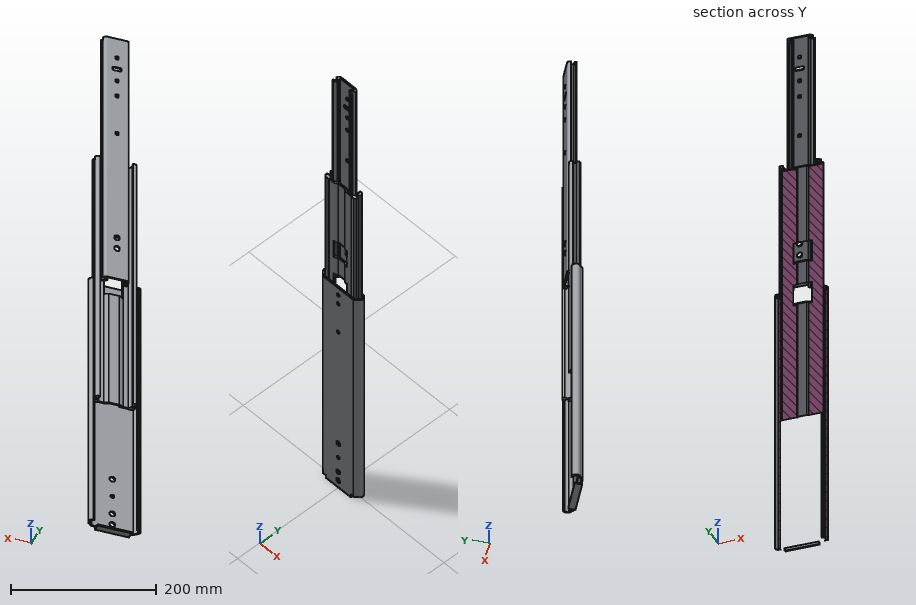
import cadquery as cq
import math

SHEET = 2.5
RAIL_LENGTH = 400.0

OUTER_HALF_WIDTH = 77.0 / 2
OUTER_HALF_BASE = 61.0 / 2
OUTER_DEPTH = 16.0
OUTER_BEVEL_X = 71.0 / 2
OUTER_BEVEL_Y = 4.5
OUTER_LEDGE_X = 36.5
OUTER_LEDGE_Y = 5.3
OUTER_CURL_Y = 10.0
OUTER_CURL_END = 34.0
OUTER_LIP_X = 32.0
OUTER_BOTTOM = 5.0
OUTER_TOP = 408.0

TAB_HALF_WIDTH = 25.0
STOP_HEIGHT = 10.5

MIDDLE_BOTTOM = 211.0
MIDDLE_TOP = MIDDLE_BOTTOM + RAIL_LENGTH
MIDDLE_HALF_WIDTH = 31.0
MIDDLE_FRONT = 2.85
WEB_FRONT = 3.65
MIDDLE_BACK = 19.0
RIDGE_RISE = 2.85
RIDGE_HALF_WIDTH = 6.5
RIDGE_FOOT_X = 27.0 / 2
FLANK_SAG = 1.0
BEAD_X = 22.0
BEAD_TOP = 9.0
BEAD_STEP = 1.2
BEAD_BEVEL = 2.5
WING_ROUND = 4.5
WING_TIP_X = 24.0
WING_TIP_Y = 15.5
RACE_Y = 12.0
OUTER_RACE_X = 28.0
INNER_RACE_X = OUTER_RACE_X - SHEET
WINDOW_HALF_WIDTH = RIDGE_FOOT_X
WINDOW_HEIGHT = 32.0
WINDOW_BOTTOMS = (392.0, 459.0)

INNER_TOP = 812.0
INNER_BOTTOM = INNER_TOP - RAIL_LENGTH
INNER_HALF_WIDTH = 38.0 / 2
INNER_FRONT = 6.5
INNER_BACK = 19.5
INNER_ROUND = 5.0
CHANNEL_HALF_WIDTH = 22.0 / 2
CHANNEL_MOUTH_X = 33.0 / 2
CHANNEL_FLARE_Y = 10.5
GROOVE_X = CHANNEL_HALF_WIDTH + SHEET
GROOVE_MOUTH = 6.0
GROOVE_FLOOR = 2.5

SMALL_HOLE = 5.3
LARGE_HOLE = 8.0
OUTER_SMALL_HOLES = (393.0, 375.0, 318.0, 61.0)
OUTER_LARGE_HOLES = (89.0, 32.0, 14.0)
INNER_SMALL_HOLES = (781.0, 742.5, 717.0, 655.0)
INNER_LARGE_HOLES = (481.0, 463.0)
SLOT_Z = 762.0
SLOT_LENGTH = 14.0
SLOT_WIDTH = 6.0


def extrude_half(half_profile, bottom, top):
    """Extrude a closed profile of the +X half and mirror it across the YZ plane."""
    half = half_profile.close().extrude(top - bottom).translate((0, 0, bottom))
    return half.union(half.mirror("YZ"))


def block(half_width, front, back, bottom, top):
    """A box centred on X = 0."""
    size = (2 * half_width, back - front, top - bottom)
    return cq.Workplane("XY").box(*size, centered=(True, False, False)).translate((0, front, bottom))


def drill(rail, diameter, heights):
    """Cut holes through a rail along Y at the given heights."""
    points = [(0, z) for z in heights]
    cutter = cq.Workplane("XZ").pushPoints(points).circle(diameter / 2).extrude(INNER_BACK, both=True)
    return rail.cut(cutter)


def round_middle(corner_x, corner_y, radius):
    """Middle point of the arc that rounds a square corner at the +X, +Y side of a profile."""
    inset = radius * (1 - math.sqrt(0.5))
    return (corner_x - inset, corner_y - inset)


def make_outer_rail():
    side = OUTER_HALF_WIDTH
    lip_front = OUTER_DEPTH - SHEET
    profile = (
        cq.Workplane("XY")
        .moveTo(0, 0)
        .lineTo(OUTER_HALF_BASE, 0)
        .lineTo(OUTER_BEVEL_X, OUTER_BEVEL_Y)
        .lineTo(OUTER_LEDGE_X, OUTER_LEDGE_Y)
        .threePointArc((side, OUTER_CURL_Y), (OUTER_CURL_END, OUTER_DEPTH))
        .lineTo(OUTER_LIP_X, OUTER_DEPTH)
        .lineTo(OUTER_LIP_X, lip_front)
        .lineTo(OUTER_CURL_END, lip_front)
        .threePointArc((side - SHEET, OUTER_CURL_Y), (OUTER_LEDGE_X - SHEET / 2, OUTER_LEDGE_Y + SHEET))
        .lineTo(OUTER_BEVEL_X - SHEET / 2, OUTER_BEVEL_Y + SHEET)
        .lineTo(OUTER_HALF_BASE, SHEET)
        .lineTo(0, SHEET)
    )
    rail = extrude_half(profile, OUTER_BOTTOM, OUTER_TOP)
    tab = block(TAB_HALF_WIDTH, 0, SHEET, 0, OUTER_BOTTOM)
    stop = block(TAB_HALF_WIDTH, 0, STOP_HEIGHT, 0, SHEET)
    rail = rail.union(tab).union(stop)
    rail = drill(rail, SMALL_HOLE, OUTER_SMALL_HOLES)
    return drill(rail, LARGE_HOLE, OUTER_LARGE_HOLES)


def make_middle_rail():
    web_back = WEB_FRONT + SHEET
    ridge_front = WEB_FRONT + RIDGE_RISE
    ridge_back = ridge_front + SHEET
    back_foot_x = RIDGE_FOOT_X + SHEET / 2
    back_ridge_x = RIDGE_HALF_WIDTH + SHEET / 2
    flank_middle = (
        (RIDGE_HALF_WIDTH + RIDGE_FOOT_X) / 2 - FLANK_SAG / 2,
        WEB_FRONT + RIDGE_RISE / 2 - FLANK_SAG,
    )
    side = MIDDLE_HALF_WIDTH
    wing_edge_y = MIDDLE_BACK - WING_ROUND
    profile = (
        cq.Workplane("XY")
        .moveTo(0, ridge_front)
        .lineTo(RIDGE_HALF_WIDTH, ridge_front)
        .threePointArc(flank_middle, (RIDGE_FOOT_X, WEB_FRONT))
        .lineTo(BEAD_X, WEB_FRONT)
        .lineTo(BEAD_X + BEAD_STEP, MIDDLE_FRONT)
        .lineTo(side - BEAD_BEVEL, MIDDLE_FRONT)
        .lineTo(side, MIDDLE_FRONT + BEAD_BEVEL)
        .lineTo(side, BEAD_TOP)
        .lineTo(OUTER_RACE_X - SHEET / 2, BEAD_TOP)
        .lineTo(OUTER_RACE_X, RACE_Y)
        .lineTo(side, wing_edge_y)
        .threePointArc(round_middle(side, MIDDLE_BACK, WING_ROUND), (side - WING_ROUND, MIDDLE_BACK))
        .lineTo(WING_TIP_X, MIDDLE_BACK)
        .lineTo(WING_TIP_X, WING_TIP_Y)
        .threePointArc((INNER_RACE_X, RACE_Y), (BEAD_X, web_back))
        .lineTo(back_foot_x, web_back)
        .lineTo(back_ridge_x, ridge_back)
        .lineTo(0, ridge_back)
    )
    rail = extrude_half(profile, MIDDLE_BOTTOM, MIDDLE_TOP)
    for bottom in WINDOW_BOTTOMS:
        rail = rail.cut(block(WINDOW_HALF_WIDTH, 0, MIDDLE_BACK, bottom, bottom + WINDOW_HEIGHT))
    return rail


def make_inner_rail():
    side = INNER_HALF_WIDTH
    groove_y = INNER_BACK - INNER_ROUND - GROOVE_MOUTH / 2
    profile = (
        cq.Workplane("XY")
        .moveTo(0, INNER_BACK)
        .lineTo(side - INNER_ROUND, INNER_BACK)
        .threePointArc(round_middle(side, INNER_BACK, INNER_ROUND), (side, INNER_BACK - INNER_ROUND))
        .lineTo(GROOVE_X, groove_y + GROOVE_FLOOR / 2)
        .lineTo(GROOVE_X, groove_y - GROOVE_FLOOR / 2)
        .lineTo(side, groove_y - GROOVE_MOUTH / 2)
        .lineTo(side, INNER_FRONT)
        .lineTo(CHANNEL_MOUTH_X, INNER_FRONT)
        .lineTo(CHANNEL_HALF_WIDTH, CHANNEL_FLARE_Y)
        .lineTo(CHANNEL_HALF_WIDTH, groove_y + GROOVE_FLOOR / 2)
        .lineTo(side - INNER_ROUND, INNER_BACK - SHEET)
        .lineTo(0, INNER_BACK - SHEET)
    )
    rail = extrude_half(profile, INNER_BOTTOM, INNER_TOP)
    rail = drill(rail, SMALL_HOLE, INNER_SMALL_HOLES)
    rail = drill(rail, LARGE_HOLE, INNER_LARGE_HOLES)
    slot = cq.Workplane("XZ").center(0, SLOT_Z).slot2D(SLOT_LENGTH, SLOT_WIDTH)
    return rail.cut(slot.extrude(INNER_BACK, both=True))


outer_rail = make_outer_rail()
middle_rail = make_middle_rail()
inner_rail = make_inner_rail()
rails = (outer_rail, middle_rail, inner_rail)

result = cq.Compound.makeCompound([rail.solids().val() for rail in rails])